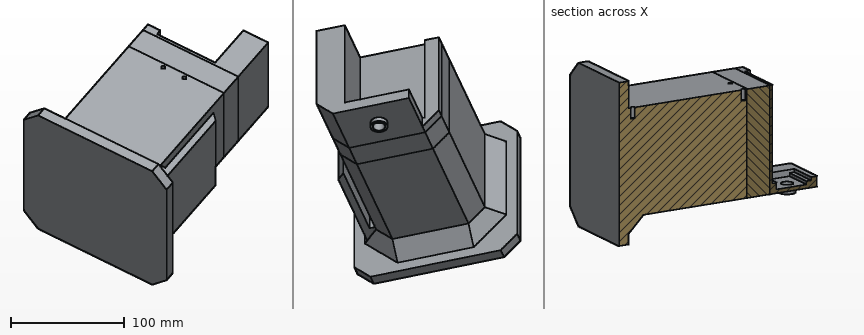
import cadquery as cq

PLATE_SIZE = 150.0
PLATE_THICKNESS = 10.0
PLATE_CORNER = 15.0

BODY_SIZE = 100.0
BODY_CORNER = 15.0
HALF_BODY = BODY_SIZE / 2

TOTAL_LENGTH = 201.0
SPACER_START = 130.0
REAR_START = 153.0
SIDE_WALL_END = 161.0

FLARE = 15.0

ARM_GAP = 5.0
ARM_THICKNESS = 6.8
ARM_END = 105.5
SLOT_START = 28.3
ARM_INNER_X = HALF_BODY + ARM_GAP
ARM_OUTER_X = ARM_INNER_X + ARM_THICKNESS
ARM_BOTTOM = -HALF_BODY + BODY_CORNER

PIN_HOLE_DIAMETER = 3.6
PIN_HOLE_DEPTH = 10.0
PIN_HOLE_SPACING = 22.3
PIN_HOLE_ROWS = (14.3, 126.0)

SHELF_THICKNESS = 10.0
SHELF_TOP = -HALF_BODY + SHELF_THICKNESS
BAY_LEFT = -37.0
BAY_RIGHT = 24.0
BAY_FRONT = 155.8

POCKET_WIDTH = 35.5
POCKET_FRONT = 160.0
POCKET_STEP_START = 189.7
POCKET_BACK = 194.5
POCKET_DEPTH = 6.0
POCKET_STEP_DEPTH = 3.0

BOSS_Y = 177.0
BOSS_DIAMETER = 15.0
BOSS_HEIGHT = 4.2
BOSS_HOLE_DIAMETER = 10.9


def box(x_range, y_range, z_range):
    """Axis-aligned box between the given limits."""
    size = [high - low for low, high in (x_range, y_range, z_range)]
    corner = (x_range[0], y_range[0], z_range[0])
    return cq.Workplane("XY").box(*size, centered=False).translate(corner)


def body_outline(growth=0.0):
    """Body section in X and Z, with its sides and bottom moved out by growth."""
    side = HALF_BODY + growth
    bottom = -HALF_BODY - growth
    corner_x = HALF_BODY - BODY_CORNER
    corner_z = -HALF_BODY + BODY_CORNER
    return [
        (-side, HALF_BODY),
        (side, HALF_BODY),
        (side, corner_z),
        (corner_x, bottom),
        (-corner_x, bottom),
        (-side, corner_z),
    ]


def body_block(start, end):
    """Body section extruded from Y = start to Y = end."""
    plane = cq.Workplane("XZ", origin=(0, start, 0))
    return plane.polyline(body_outline()).close().extrude(start - end)


def make_plate():
    plate = cq.Workplane("XZ").rect(PLATE_SIZE, PLATE_SIZE).extrude(-PLATE_THICKNESS)
    return plate.edges("|Y").chamfer(PLATE_CORNER)


def make_flare():
    wide = cq.Workplane("XZ", origin=(0, PLATE_THICKNESS, 0)).polyline(body_outline(FLARE)).close()
    narrow = wide.workplane(offset=-FLARE).polyline(body_outline()).close()
    return narrow.loft(ruled=True)


def make_arm():
    """Side arm with a 45 degree tip, joined to the body in front of the slot."""
    outline = [
        (HALF_BODY, PLATE_THICKNESS),
        (ARM_OUTER_X, PLATE_THICKNESS),
        (ARM_OUTER_X, ARM_END - ARM_THICKNESS),
        (ARM_INNER_X, ARM_END),
        (ARM_INNER_X, SLOT_START),
        (HALF_BODY, SLOT_START),
    ]
    plane = cq.Workplane("XY", origin=(0, 0, ARM_BOTTOM))
    return plane.polyline(outline).close().extrude(HALF_BODY - ARM_BOTTOM)


def make_pin_holes():
    places = [(side * PIN_HOLE_SPACING / 2, y) for side in (-1, 1) for y in PIN_HOLE_ROWS]
    plane = cq.Workplane("XY", origin=(0, 0, HALF_BODY))
    return plane.pushPoints(places).circle(PIN_HOLE_DIAMETER / 2).extrude(-PIN_HOLE_DEPTH)


def make_housing():
    """Front plate, flare, main block and side arm."""
    housing = make_plate().union(body_block(PLATE_THICKNESS, SPACER_START))
    housing = housing.union(make_flare()).union(make_arm())
    return housing.cut(make_pin_holes())


def make_spacer():
    """Plain block between the housing and the rear body."""
    return body_block(SPACER_START, REAR_START)


def make_bay():
    """Space above the shelf, and the full-height cut behind the short -X wall."""
    corner_x = -HALF_BODY + BODY_CORNER
    bay = box((BAY_LEFT, BAY_RIGHT), (BAY_FRONT, TOTAL_LENGTH), (SHELF_TOP, HALF_BODY))
    side_cut = box((-HALF_BODY, corner_x), (SIDE_WALL_END, TOTAL_LENGTH), (-HALF_BODY, HALF_BODY))
    return bay.union(side_cut)


def make_pocket():
    half = POCKET_WIDTH / 2
    sides = (-half, half)
    deep = box(sides, (POCKET_FRONT, POCKET_STEP_START), (SHELF_TOP - POCKET_DEPTH, SHELF_TOP))
    step = box(sides, (POCKET_STEP_START, POCKET_BACK), (SHELF_TOP - POCKET_STEP_DEPTH, SHELF_TOP))
    return deep.union(step)


def make_rear_body():
    """Rear body with the bay, the shelf pocket and the boss below the shelf."""
    boss_plane = cq.Workplane("XY", origin=(0, BOSS_Y, -HALF_BODY - BOSS_HEIGHT))
    boss = boss_plane.circle(BOSS_DIAMETER / 2).extrude(BOSS_HEIGHT)
    hole = boss_plane.circle(BOSS_HOLE_DIAMETER / 2).extrude(BOSS_HEIGHT + SHELF_THICKNESS)
    rear = body_block(REAR_START, TOTAL_LENGTH).cut(make_bay()).cut(make_pocket())
    return rear.union(boss).cut(hole)


housing = make_housing()
spacer = make_spacer()
rear_body = make_rear_body()

result = cq.Compound.makeCompound([housing.val(), spacer.val(), rear_body.val()])